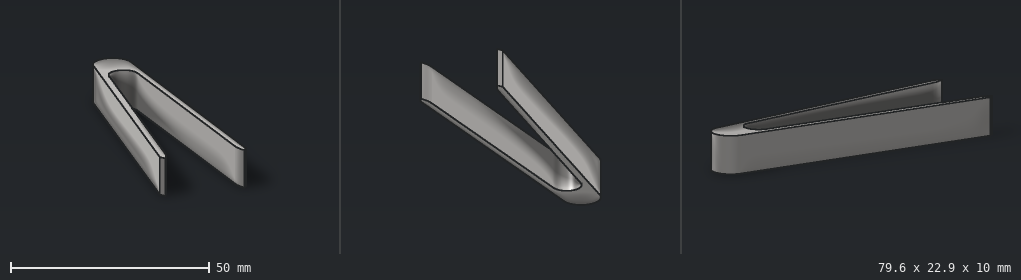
import cadquery as cq
import math

length = 79.6
height = 10.0
corner_x = 78.3

end_radius = height / 2
end_thickness = height
arm_thickness = 2.0
arm_angle = math.radians(5)

tip_y = 10.5
tip_curve_start_x = 75.95

slope = math.tan(arm_angle)
sine = math.sin(arm_angle)
cosine = math.cos(arm_angle)

slot_radius = (
    end_radius - arm_thickness + (end_thickness - end_radius) * sine
) / (1 - sine)
slot_center_x = end_thickness + slot_radius


def outer_face_y(x):
    return end_radius / cosine + (x - end_radius) * slope


def inner_face_y(x):
    return outer_face_y(x) - arm_thickness / cosine


def tangent_point(center_x, radius):
    """Point where an arc centred on the X axis meets the upper arm face."""
    return center_x - radius * sine, radius * cosine


def mirrored(point):
    return point[0], -point[1]


outer_tangent = tangent_point(end_radius, end_radius)
slot_tangent = tangent_point(slot_center_x, slot_radius)
outer_corner = (corner_x, outer_face_y(corner_x))
tip = (length, tip_y)
curve_start = (tip_curve_start_x, inner_face_y(tip_curve_start_x))

chord_x = tip[0] - curve_start[0]
chord_y = tip[1] - curve_start[1]
chord_angle = math.atan2(chord_y, chord_x)
half_turn = (chord_angle - arm_angle) / 2
sagitta = math.hypot(chord_x, chord_y) / 2 * math.tan(half_turn)
curve_middle = (
    (curve_start[0] + tip[0]) / 2 + sagitta * math.sin(chord_angle),
    (curve_start[1] + tip[1]) / 2 - sagitta * math.cos(chord_angle),
)

outline = (
    cq.Workplane("XY")
    .moveTo(*outer_tangent)
    .lineTo(*outer_corner)
    .lineTo(*tip)
    .threePointArc(curve_middle, curve_start)
    .lineTo(*slot_tangent)
    .threePointArc((end_thickness, 0), mirrored(slot_tangent))
    .lineTo(*mirrored(curve_start))
    .threePointArc(mirrored(curve_middle), mirrored(tip))
    .lineTo(*mirrored(outer_corner))
    .lineTo(*mirrored(outer_tangent))
    .threePointArc((0, 0), outer_tangent)
    .close()
)

result = outline.extrude(height)